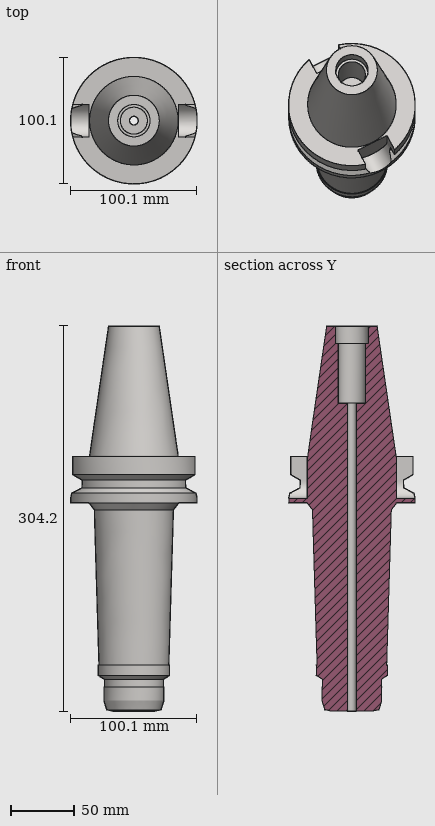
import cadquery as cq

total_length = 304.2
taper_length = 102.0
gauge_z = total_length - taper_length
flange_gap = 1.0
flange_top_z = gauge_z - flange_gap
flange_bottom_z = 164.5
groove_upper_rim_z = 186.8
groove_lower_rim_z = 172.2
groove_upper_floor_z = 182.5
groove_lower_floor_z = 176.5
shank_top_z = 159.0
collar_top_z = 36.5
collar_bottom_z = 28.3
nose_top_z = 25.2
nose_step_z = 19.2
nose_taper_z = 8.2
nose_chamfer_z = 1.2

taper_small_radius = 20.0
taper_large_radius = 35.0
flange_radius = 50.05
groove_radius = 43.0
flange_cone_radius = 35.5
shank_top_radius = 31.3
shank_bottom_radius = 27.7
collar_radius = 28.3
nose_neck_radius = 23.5
nose_radius = 23.7
nose_end_radius = 21.5
nose_face_radius = 16.5

slot_width = 26.0
slot_floor_x = 35.3
slot_bottom_z = 168.2

bore_mouth_radius = 12.8
bore_mouth_depth = 13.7
bore_radius = 10.5
bore_depth = 60.8
through_radius = 3.3


def holder_body():
    """Turned body: tool taper, grooved flange, shank, collar and nose."""
    profile = [
        (0, 0),
        (nose_face_radius, 0),
        (nose_end_radius, nose_chamfer_z),
        (nose_radius, nose_taper_z),
        (nose_radius, nose_step_z),
        (nose_neck_radius, nose_step_z),
        (nose_neck_radius, nose_top_z),
        (collar_radius, collar_bottom_z),
        (collar_radius, collar_top_z),
        (shank_bottom_radius, collar_top_z),
        (shank_top_radius, shank_top_z),
        (flange_cone_radius, flange_bottom_z),
        (flange_radius, flange_bottom_z),
        (flange_radius, groove_lower_rim_z),
        (groove_radius, groove_lower_floor_z),
        (groove_radius, groove_upper_floor_z),
        (flange_radius, groove_upper_rim_z),
        (flange_radius, flange_top_z),
        (taper_large_radius, flange_top_z),
        (taper_large_radius, gauge_z),
        (taper_small_radius, total_length),
        (0, total_length),
    ]
    return cq.Workplane("XZ").polyline(profile).close().revolve(360, (0, 0), (0, 1))


def drive_slot(side):
    """Round-bottomed slot cutter, on the +X (side=1) or -X (side=-1) flank."""
    half_width = slot_width / 2
    arc_center_z = slot_bottom_z + half_width
    return (
        cq.Workplane("YZ", origin=(side * slot_floor_x, 0, 0))
        .moveTo(-half_width, flange_top_z)
        .lineTo(-half_width, arc_center_z)
        .threePointArc((0, slot_bottom_z), (half_width, arc_center_z))
        .lineTo(half_width, flange_top_z)
        .close()
        .extrude(side * flange_radius)
    )


def hole_from_top(radius, depth):
    """Round cutter on the axis, reaching down from the taper end."""
    return cq.Workplane("XY", origin=(0, 0, total_length - depth)).circle(radius).extrude(depth)


result = holder_body()
for side in (-1, 1):
    result = result.cut(drive_slot(side))

result = result.cut(hole_from_top(bore_mouth_radius, bore_mouth_depth))
result = result.cut(hole_from_top(bore_radius, bore_depth))
result = result.cut(hole_from_top(through_radius, total_length))